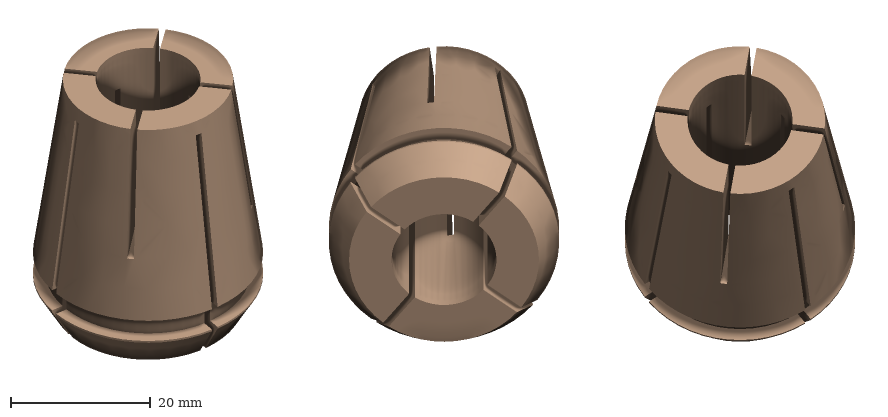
import cadquery as cq
import math

length = 40.0
bore_radius = 7.5
top_radius = 12.2
max_radius = 16.5
bottom_radius = 13.6
groove_radius = 14.7

lip_edge_z = 5.2
groove_bottom_z = 5.5
groove_top_z = 9.1

slot_width = 1.0
disc_radius = 20.0
slot_reach = 2 * max_radius

lower_slot_outer_z = 37.75
lower_slot_bore_z = 33.6
upper_slot_outer_z = 19.0
upper_slot_bore_z = 19.9


def taper_radius(z):
    """Radius of the tapered outside at height z."""
    fraction = (z - groove_top_z) / (length - groove_top_z)
    return max_radius + fraction * (top_radius - max_radius)


def make_body():
    return (
        cq.Workplane("XZ")
        .moveTo(bore_radius, 0)
        .lineTo(bottom_radius, 0)
        .lineTo(max_radius, lip_edge_z)
        .lineTo(max_radius, groove_bottom_z)
        .lineTo(groove_radius, groove_bottom_z)
        .lineTo(groove_radius, groove_top_z)
        .lineTo(max_radius, groove_top_z)
        .lineTo(top_radius, length)
        .lineTo(bore_radius, length)
        .close()
        .revolve(360, (0, 0, 0), (0, 1, 0))
    )


def make_slot(outer_z, bore_z, open_end_z):
    """Slot along +X from the open end to an arc through the outside and bore points."""
    outer_radius = taper_radius(outer_z)
    radial_step = outer_radius - bore_radius
    height_step = outer_z - bore_z
    chord = math.hypot(radial_step, height_step)
    offset = math.sqrt(disc_radius**2 - (chord / 2) ** 2)

    side = math.copysign(1, open_end_z - outer_z)
    center_x = (outer_radius + bore_radius) / 2 - side * offset * height_step / chord
    center_z = (outer_z + bore_z) / 2 + side * offset * radial_step / chord

    disc = (
        cq.Workplane("XZ")
        .center(center_x, center_z)
        .circle(disc_radius)
        .extrude(slot_width / 2, both=True)
    )
    open_part = (
        cq.Workplane("XY")
        .box(slot_reach, slot_width, abs(open_end_z - center_z), centered=(False, True, True))
        .translate((0, 0, (open_end_z + center_z) / 2))
    )
    return disc.union(open_part)


def cut_around(body, slot, first_angle):
    """Cut four copies of the slot, a quarter turn apart."""
    for quarter in range(4):
        body = body.cut(slot.rotate((0, 0, 0), (0, 0, 1), first_angle + 90 * quarter))
    return body


lower_slot = make_slot(lower_slot_outer_z, lower_slot_bore_z, 0)
upper_slot = make_slot(upper_slot_outer_z, upper_slot_bore_z, length)

result = cut_around(make_body(), lower_slot, 0)
result = cut_around(result, upper_slot, 45)